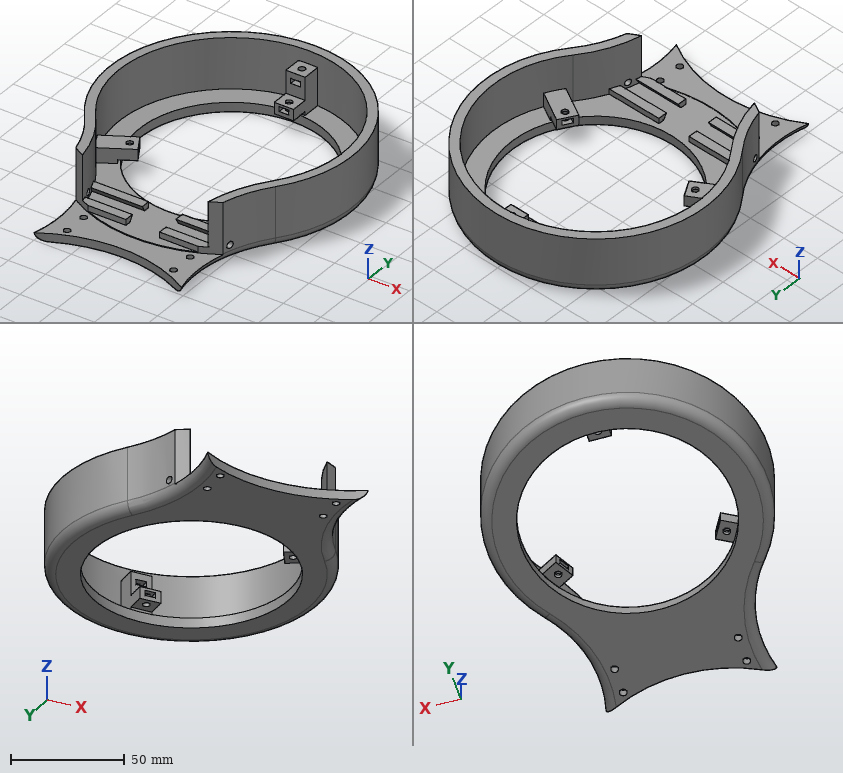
import cadquery as cq
import math

height = 32.0
outer_radius = 65.0
wall = 5.0
floor_top = 5.0
plate_top = 4.5
bottom_fillet = 5.0
opening_radius = 49.0

neck_radius = outer_radius
neck_y = -80.0
mouth_radius = 75.0
stock_end_y = -106.5
neck_center_distance = outer_radius + neck_radius
neck_x = math.sqrt(neck_center_distance**2 - neck_y**2)

hole_diameter = 3.4
mount_hole_x = 28.5
mount_hole_offset = 6.5
cable_hole_y = -60.0
cable_hole_z = 8.0

rail_width = 5.0
rail_top = 8.0
rail_inner_x = 9.0
rail_centers_y = (-53.7, -66.5)
rail_undercut_angle = 30

lug_width = 10.3
lug_tip_radius = 41.0
lug_foot_radius = 50.0
lug_outer_radius = outer_radius - wall / 2
lug_bottom = 7.0
lug_top = 12.9
tower_top = 25.0
lug_hole_inset = 4.0
tower_hole_inset = 5.0
tower_hole_depth = 10.0
side_lug_angles = (120, 240)

nut_diameter = 6.0
nut_width = nut_diameter * math.cos(math.radians(30))
nut_height = 2.5
lug_nut_bottom = 9.0
tower_nut_bottom = 19.0


def outline(inset):
    """Closed outline of cup and untrimmed neck, with its sides moved inwards by inset."""
    cup_radius = outer_radius - inset
    side_radius = neck_radius + inset
    tangent_x = neck_x * cup_radius / neck_center_distance
    tangent_y = neck_y * cup_radius / neck_center_distance
    waist_x = neck_x - side_radius
    end_x = neck_x - math.sqrt(side_radius**2 - (stock_end_y - neck_y) ** 2)
    return (
        cq.Workplane("XY")
        .moveTo(tangent_x, tangent_y)
        .threePointArc((0, cup_radius), (-tangent_x, tangent_y))
        .threePointArc((-waist_x, neck_y), (-end_x, stock_end_y))
        .lineTo(end_x, stock_end_y)
        .threePointArc((waist_x, neck_y), (tangent_x, tangent_y))
        .close()
    )


def block(x_range, y_range, z_range):
    """Box between the given limits."""
    size = [high - low for low, high in (x_range, y_range, z_range)]
    corner = (x_range[0], y_range[0], z_range[0])
    return cq.Workplane("XY").box(*size, centered=False).translate(corner)


def hole(x, y, z_low, z_high):
    """Vertical screw hole cutter."""
    return cq.Workplane("XY", origin=(x, y, z_low)).circle(hole_diameter / 2).extrude(z_high - z_low)


def nut_trap(front_y, center_y, bottom):
    """Hexagonal pocket at center_y with a slot that opens at front_y."""
    nut = (
        cq.Workplane("XY", origin=(0, center_y, bottom))
        .transformed(rotate=(0, 0, 90))
        .polygon(6, nut_diameter)
        .extrude(nut_height)
    )
    half = nut_width / 2
    return nut.union(block((-half, half), (front_y, center_y), (bottom, bottom + nut_height)))


def lug():
    """Lug on the +Y side, with its tip hanging over the central opening."""
    sides = (-lug_width / 2, lug_width / 2)
    tip = block(sides, (lug_tip_radius, lug_outer_radius), (lug_bottom, lug_top))
    foot = block(sides, (lug_foot_radius, lug_outer_radius), (plate_top, lug_top))
    hole_y = lug_tip_radius + lug_hole_inset
    return (
        tip.union(foot)
        .cut(hole(0, hole_y, lug_bottom, lug_top))
        .cut(nut_trap(lug_tip_radius, hole_y, lug_nut_bottom))
    )


def tower():
    """Taller block that stands on the foot of the +Y lug."""
    hole_y = lug_foot_radius + tower_hole_inset
    body = block(
        (-lug_width / 2, lug_width / 2), (lug_foot_radius, lug_outer_radius), (lug_top, tower_top)
    )
    return (
        body.cut(hole(0, hole_y, tower_top - tower_hole_depth, tower_top))
        .cut(nut_trap(lug_foot_radius, hole_y, tower_nut_bottom))
    )


def rails():
    """Two dovetail rails, from x = rail_inner_x out to the cup radius."""
    rail_bottom = plate_top
    undercut = (rail_top - rail_bottom) * math.tan(math.radians(rail_undercut_angle))
    guide_center_y = sum(rail_centers_y) / len(rail_centers_y)
    pair = cq.Workplane("XY")
    for center_y in rail_centers_y:
        towards_guide = math.copysign(1, guide_center_y - center_y)
        facing_y = center_y + towards_guide * rail_width / 2
        away_y = center_y - towards_guide * rail_width / 2
        profile = [
            (away_y, rail_bottom),
            (away_y, rail_top),
            (facing_y, rail_top),
            (facing_y - towards_guide * undercut, rail_bottom),
        ]
        rail = (
            cq.Workplane("YZ", origin=(rail_inner_x, 0, 0))
            .polyline(profile)
            .close()
            .extrude(outer_radius - rail_inner_x)
        )
        pair = pair.add(rail)
    return pair.combine()


solid = outline(0).extrude(height).faces("<Z").edges().fillet(bottom_fillet)
cavity = outline(wall).extrude(height).translate((0, 0, floor_top))
body = solid.cut(cavity)

right_rails = rails().intersect(outline(wall / 2).extrude(height))
body = body.union(right_rails).union(right_rails.mirror("YZ"))

neck_end = cq.Workplane("XY", origin=(0, 2 * neck_y, 0)).circle(mouth_radius).extrude(height)
body = body.cut(neck_end)

beyond_mouth = (
    cq.Workplane("XY", origin=(0, 0, plate_top))
    .circle(2 * mouth_radius)
    .circle(mouth_radius)
    .extrude(height)
)
body = body.cut(beyond_mouth)

body = body.cut(cq.Workplane("XY").circle(opening_radius).extrude(floor_top))
for x in (-mount_hole_x, mount_hole_x):
    for y in (neck_y - mount_hole_offset, neck_y + mount_hole_offset):
        body = body.cut(hole(x, y, 0, plate_top))
cable_hole = (
    cq.Workplane("YZ", origin=(-outer_radius, cable_hole_y, cable_hole_z))
    .circle(hole_diameter / 2)
    .extrude(2 * outer_radius)
)
body = body.cut(cable_hole)

body = body.union(lug()).union(tower())
for angle in side_lug_angles:
    body = body.union(lug().rotate((0, 0, 0), (0, 0, 1), angle))

result = body